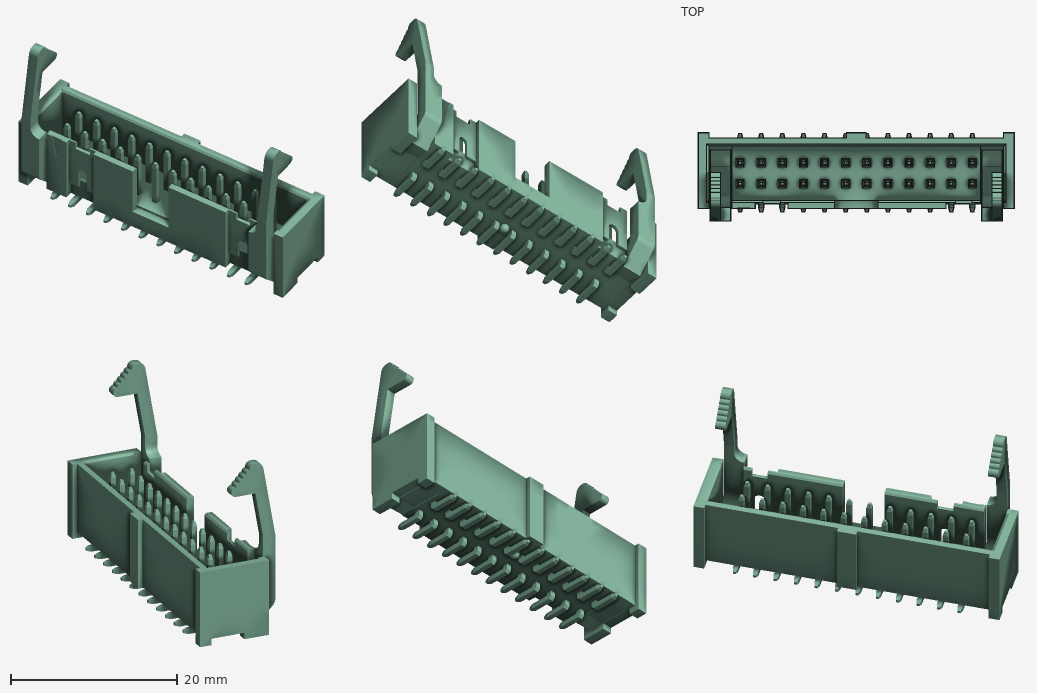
import cadquery as cq
import math


length = 38.1
half_length = length / 2
wall_y = 4.25
tab_y = 4.88
rim_z = 10.0
floor_z = 3.8
base_z = 1.05
foot_z = 0.23
cavity_x = 17.7
cavity_y = 3.28
rim_chamfer_z = 0.23
rim_chamfer_x = 0.35
rim_chamfer_y = 0.23
back_foot_y = 3.4
front_foot_y = -1.0
tab_half_width = 1.2
key_half_width = 2.6
key_sill_z = 3.45

recess_y = 3.7
undercut_z = 3.0
notch_z = 9.0
mark_depth = 0.08
mark_x = -13.55
mark_half_width = 0.75
mark_tip_z = 6.97

pin_count = 12
row_span = 27.95
pitch = row_span / (pin_count - 1)
pin_size = 0.65
pin_tip_z = 9.75
back_lead_tip_y = 4.8
front_lead_tip_y = 4.7
tip_length = 0.57
tip_inset = 0.15
bend_chamfer = 0.35
bend_fill = 0.2
pit_size = 1.0
pit_depth = 0.15
peg_diameter = 1.2
peg_y = 1.22

slot_inner_x = 14.97
slot_back_y = 2.82
ledge_z = 2.5
latch_outer_x = 17.6
latch_inner_x = 15.1
arm_inner_x = 16.35
arm_fillet = 1.25
shoulder_z = 10.1
latch_front_y = -5.75
arm_back_y = -4.15
latch_bottom_z = 0.8
heel_back_y = -1.15
latch_top_z = 22.25
bend_z = 12.55
lean_angle = math.radians(10)
lean = math.tan(lean_angle)
heel_radius = 1.15
heel_z = 4.1
foot_top_z = 3.4
toe_start_y = 0.85
root_fillet = 1.52
nose_radius = 0.57
nose_y = -0.5
nose_z = 18.95
step_count = 5
step_y = 0.45
step_z = 0.5
step_round = 0.42
top_step_round = 0.7
crown_radius = 0.9


def block(x0, x1, y0, y1, z0, z1):
    return cq.Workplane("XY").box(x1 - x0, y1 - y0, z1 - z0, centered=False).translate((x0, y0, z0))


def make_shell():
    """Open-topped box with end-wall feet, back tabs and a chamfered rim."""
    shell = block(-half_length, half_length, -wall_y, wall_y, base_z, rim_z)
    for x0, x1 in ((-half_length, -cavity_x), (cavity_x, half_length)):
        shell = shell.union(block(x0, x1, -wall_y, tab_y, base_z, rim_z))
        shell = shell.union(block(x0, x1, back_foot_y, tab_y, foot_z, base_z))
        shell = shell.union(block(x0, x1, -wall_y, front_foot_y, foot_z, base_z))
    shell = shell.union(block(-tab_half_width, tab_half_width, wall_y, tab_y, base_z, rim_z))
    shell = shell.cut(block(-cavity_x, cavity_x, -cavity_y, cavity_y, floor_z, rim_z))
    lead_in = (
        cq.Workplane("XY", origin=(0, 0, rim_z - rim_chamfer_z))
        .rect(2 * cavity_x, 2 * cavity_y)
        .workplane(offset=rim_chamfer_z)
        .rect(2 * (cavity_x + rim_chamfer_x), 2 * (cavity_y + rim_chamfer_y))
        .loft()
    )
    return shell.cut(lead_in)


def wall_recess(x0, x1, notch_x0, notch_x1, arch_x, arch_diameter, arch_top_z):
    """Recess in the front wall with a rim notch, an arched opening and an undercut."""
    radius = arch_diameter / 2
    arch_center_z = arch_top_z - radius
    wall = wall_y - cavity_y
    recess = block(x0, x1, -wall_y, -recess_y, base_z, rim_z)
    notch = block(notch_x0, notch_x1, -wall_y, -cavity_y, notch_z, rim_z)
    undercut = block(x0, x1, -wall_y, -cavity_y, base_z, undercut_z)
    slot = block(arch_x - radius, arch_x + radius, -wall_y, -cavity_y, base_z, arch_center_z)
    arch = cq.Workplane("XZ", origin=(arch_x, -cavity_y, arch_center_z)).circle(radius).extrude(wall)
    return recess.union(notch).union(undercut).union(slot).union(arch)


def pin_one_mark():
    """Shallow triangle engraved in the front wall."""
    return (
        cq.Workplane("XZ", origin=(0, mark_depth - wall_y, 0))
        .moveTo(mark_x - mark_half_width, rim_z)
        .lineTo(mark_x + mark_half_width, rim_z)
        .lineTo(mark_x, mark_tip_z)
        .close()
        .extrude(mark_depth)
    )


def latch_slot():
    """Opening for the latch at the +X end, with a ledge behind the foot."""
    opening = block(slot_inner_x, cavity_x, -wall_y, slot_back_y, base_z, rim_z)
    return opening.union(block(slot_inner_x, cavity_x, slot_back_y, cavity_y, ledge_z, rim_z))


def tapered_tip(plane):
    """Tapered end of a square pin, growing along the normal of the plane."""
    taper = math.degrees(math.atan(tip_inset / tip_length))
    return cq.Workplane(plane).rect(pin_size, pin_size).extrude(tip_length, taper=taper)


def make_pin(lead_tip_y):
    """Bent pin on the +Y side, at X = 0, with its lead pointing toward +Y."""
    row_y = pitch / 2
    half = pin_size / 2
    post_top_z = pin_tip_z - tip_length
    lead_end_y = lead_tip_y - tip_length
    bent_bar = (
        cq.Workplane("YZ", origin=(-half, 0, 0))
        .moveTo(row_y - half, post_top_z)
        .lineTo(row_y - half, bend_chamfer)
        .lineTo(row_y - half + bend_chamfer, 0)
        .lineTo(lead_end_y, 0)
        .lineTo(lead_end_y, pin_size)
        .lineTo(row_y + half + bend_fill, pin_size)
        .lineTo(row_y + half, pin_size + bend_fill)
        .lineTo(row_y + half, post_top_z)
        .close()
        .extrude(pin_size)
    )
    post_tip = tapered_tip(cq.Plane((0, row_y, post_top_z), (1, 0, 0), (0, 0, 1)))
    lead_tip = tapered_tip(cq.Plane((0, lead_end_y, half), (1, 0, 0), (0, 1, 0)))
    return bent_bar.union(post_tip).union(lead_tip)


def make_peg():
    """Locating peg with a hemispherical end."""
    radius = peg_diameter / 2
    dome_z = foot_z + radius
    shank = cq.Workplane("XY", origin=(0, peg_y, dome_z)).circle(radius).extrude(base_z - dome_z)
    return shank.union(cq.Workplane("XY").sphere(radius).translate((0, peg_y, dome_z)))


def latch_profile():
    """Side outline of a latch: foot, leaning arm and stepped hook."""
    diagonal = math.sqrt(0.5)
    heel_y = latch_front_y + heel_radius * (1 - diagonal)
    heel_end_z = heel_z - heel_radius * diagonal
    heel_mid = math.pi / 8
    nose_bottom_z = nose_z - nose_radius

    crown_drop = crown_radius * (1 - math.sin(lean_angle))
    crown_z = latch_top_z - crown_drop
    crown_y = latch_front_y + (crown_z - bend_z) * lean
    crown_center_y = crown_y + crown_radius * math.cos(lean_angle)
    crown_mid = (math.pi - lean_angle + math.pi / 2) / 2
    crown_center_z = latch_top_z - crown_radius

    toe_length = slot_back_y - toe_start_y
    toe_drop = foot_top_z - ledge_z
    toe_radius = (toe_length**2 + toe_drop**2) / (2 * toe_drop)
    toe_mid_y = toe_start_y + toe_length / 2
    toe_mid_z = foot_top_z - toe_radius + math.sqrt(toe_radius**2 - (toe_length / 2) ** 2)

    outline = (
        cq.Workplane("YZ")
        .moveTo(slot_back_y, base_z)
        .lineTo(heel_back_y, base_z)
        .lineTo(heel_y + heel_end_z - latch_bottom_z, latch_bottom_z)
        .lineTo(heel_y, heel_end_z)
        .threePointArc(
            (
                latch_front_y + heel_radius * (1 - math.cos(heel_mid)),
                heel_z - heel_radius * math.sin(heel_mid),
            ),
            (latch_front_y, heel_z),
        )
        .lineTo(latch_front_y, bend_z)
        .lineTo(crown_y, crown_z)
        .threePointArc(
            (
                crown_center_y + crown_radius * math.cos(crown_mid),
                crown_center_z + crown_radius * math.sin(crown_mid),
            ),
            (crown_center_y, latch_top_z),
        )
    )

    for step in range(step_count, 0, -1):
        is_top = step == step_count
        radius = top_step_round if is_top else step_round
        step_foot_z = nose_z + nose_radius + (step - 1) * step_z
        step_top_z = latch_top_z if is_top else step_foot_z + step_z
        step_front_y = nose_y - (step - 1) * step_y
        round_mid = radius * (1 - diagonal)
        outline = (
            outline
            .lineTo(step_front_y - radius, step_top_z)
            .threePointArc(
                (step_front_y - round_mid, step_top_z - round_mid),
                (step_front_y, step_top_z - radius),
            )
            .lineTo(step_front_y, step_foot_z)
        )

    root_mid = root_fillet * (1 - diagonal)
    return (
        outline
        .threePointArc((nose_y + nose_radius, nose_z), (nose_y, nose_bottom_z))
        .lineTo(arm_back_y + (nose_bottom_z - bend_z) * lean, nose_bottom_z)
        .lineTo(arm_back_y, bend_z)
        .lineTo(arm_back_y, foot_top_z + root_fillet)
        .threePointArc(
            (arm_back_y + root_mid, foot_top_z + root_mid),
            (arm_back_y + root_fillet, foot_top_z),
        )
        .lineTo(toe_start_y, foot_top_z)
        .threePointArc((toe_mid_y, toe_mid_z), (slot_back_y, ledge_z))
        .close()
    )


def make_latch():
    """Latch at the +X end: a wide base under a narrow arm, blended by a concave fillet."""
    latch = latch_profile().extrude(latch_outer_x - latch_inner_x).translate((latch_inner_x, 0, 0))
    fillet_mid = arm_fillet * math.sqrt(0.5)
    arm_clearance = (
        cq.Workplane("XZ", origin=(0, tab_y, 0))
        .moveTo(latch_inner_x, shoulder_z)
        .threePointArc(
            (latch_inner_x + fillet_mid, shoulder_z + arm_fillet - fillet_mid),
            (arm_inner_x, shoulder_z + arm_fillet),
        )
        .lineTo(arm_inner_x, latch_top_z)
        .lineTo(latch_inner_x, latch_top_z)
        .close()
        .extrude(tab_y - latch_front_y)
    )
    return latch.cut(arm_clearance)


result = make_shell()
result = result.cut(block(-key_half_width, key_half_width, -wall_y, -cavity_y, key_sill_z, rim_z))
left_recess = wall_recess(
    x0=-12.15, x1=-8.23, notch_x0=-11.2, notch_x1=-9.15, arch_x=-10.17, arch_diameter=1.2, arch_top_z=5.9
)
right_recess = wall_recess(
    x0=10.82, x1=slot_inner_x, notch_x0=11.95, notch_x1=13.95, arch_x=12.9, arch_diameter=1.4, arch_top_z=6.05
)
result = result.cut(left_recess).cut(right_recess)
result = result.cut(pin_one_mark())
slot = latch_slot()
result = result.cut(slot).cut(slot.mirror("YZ"))

column_xs = [(column - (pin_count - 1) / 2) * pitch for column in range(pin_count)]
pit_positions = [(x, side * pitch / 2) for x in column_xs for side in (-1, 1)]
pits = (
    cq.Workplane("XY", origin=(0, 0, floor_z))
    .pushPoints(pit_positions)
    .rect(pit_size, pit_size)
    .extrude(-pit_depth, taper=45)
)
result = result.cut(pits)
back_pin = make_pin(back_lead_tip_y)
front_pin = make_pin(front_lead_tip_y).mirror("XZ")
for x in column_xs:
    result = result.union(back_pin.translate((x, 0, 0))).union(front_pin.translate((x, 0, 0)))

result = result.union(make_peg())
latch = make_latch()
result = result.union(latch).union(latch.mirror("YZ"))